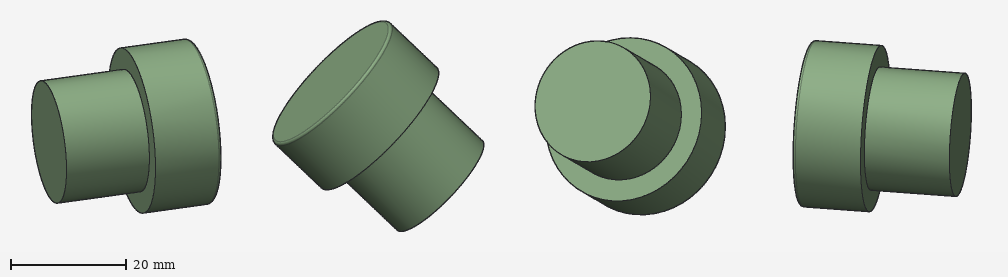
import cadquery as cq

head_diameter = 29.0
head_length = 12.0
shank_diameter = 21.5
shank_length = 15.0
rim_radius = 0.5


def make_head():
    """Head disc from the shoulder at Y = 0 toward +Y, with a rounded far rim."""
    disc = cq.Workplane("XZ").circle(head_diameter / 2).extrude(-head_length)
    return disc.faces(">Y").edges().fillet(rim_radius)


def make_shank():
    """Plain cylinder from the shoulder at Y = 0 toward -Y."""
    return cq.Workplane("XZ").circle(shank_diameter / 2).extrude(shank_length)


result = make_head().union(make_shank())